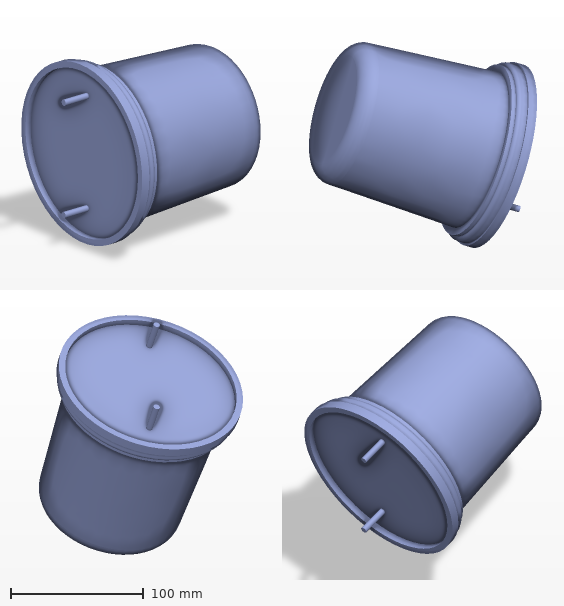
import cadquery as cq
import math


overall_length = 153.2
pin_protrusion = 17.6
dome_top = overall_length - pin_protrusion

base_radius = 71.6
base_height = 7.0
clamp_radius = 69.8
clamp_height = 8.1
clamp_fillet = 3.0
core_radius = 66.6
core_step = 3.5
recess_depth = 5.0
clamp_top = base_height + clamp_height
core_top = clamp_top + core_step

dome_foot_radius = 61.0
dome_draft = 3.0
dome_height = dome_top - core_top
dome_crown_radius = dome_foot_radius - dome_height * math.tan(math.radians(dome_draft))
dome_fillet = 12.9

pin_radius = 2.5
pin_spacing = 90.7
pin_length = pin_protrusion + recess_depth


def disc(radius, start, height):
    """Cylinder on the Y axis, from Y = start toward +Y."""
    return cq.Workplane("XZ").workplane(offset=-start).circle(radius).extrude(-height)


def make_base_ring():
    return disc(base_radius, 0, base_height).cut(disc(core_radius, 0, base_height))


def make_clamp_ring():
    ring = disc(clamp_radius, base_height, clamp_height)
    ring = ring.faces(">Y").edges().fillet(clamp_fillet)
    return ring.cut(disc(core_radius, base_height, clamp_height))


def make_core():
    """Plug through both rings, set back from the rear face to leave a recess."""
    return disc(core_radius, recess_depth, core_top - recess_depth)


def make_dome():
    """Solid cone frustum with a rounded crown."""
    half_profile = (
        cq.Workplane("XY")
        .moveTo(0, core_top)
        .lineTo(dome_foot_radius, core_top)
        .lineTo(dome_crown_radius, dome_top)
        .lineTo(0, dome_top)
        .close()
    )
    frustum = half_profile.revolve(360, (0, 0, 0), (0, 1, 0))
    return frustum.faces(">Y").edges().fillet(dome_fillet)


def make_pin(height_z):
    """Pin seated on the recess floor and reaching out past the rear face."""
    return disc(pin_radius, -pin_protrusion, pin_length).translate((0, 0, height_z))


base_ring = make_base_ring()
clamp_ring = make_clamp_ring()
core = make_core()
dome = make_dome()
pins = [make_pin(side * pin_spacing / 2) for side in (-1, 1)]

result = cq.Compound.makeCompound(
    [
        base_ring.val(),
        clamp_ring.val(),
        core.val(),
        dome.val(),
        *[pin.val() for pin in pins],
    ]
)